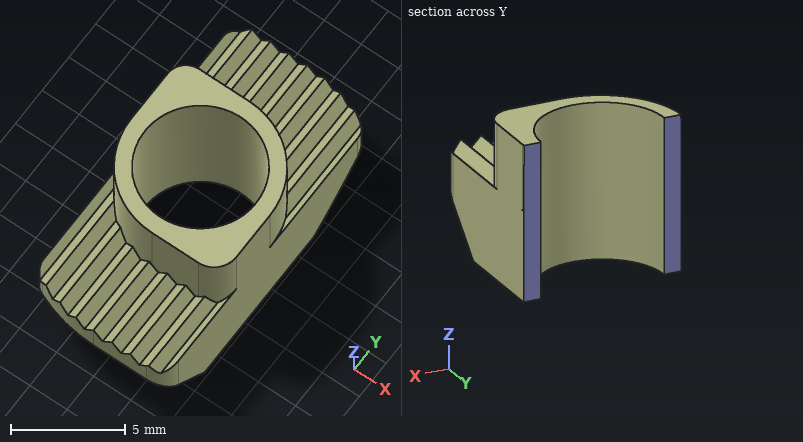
import cadquery as cq
import math

length = 16.0
width = 7.7
height = 7.5
corner_radius = 1.0
bore_diameter = 6.0
boss_swing_radius = 4.0
boss_front_corner_radius = 1.2
base_height = 4.5
bevel_size = 3.0
tooth_pitch = 1.0

half_length = length / 2
half_width = width / 2
tooth_depth = tooth_pitch / 2
bottom_half_length = half_length - bevel_size
arc_end_y = math.sqrt(half_length**2 - half_width**2)


def end_half():
    """One end of the base (+Y): bevelled flat on -X, coned round on +X."""
    section = [
        (0, 0),
        (bottom_half_length, 0),
        (half_length, bevel_size),
        (half_length, base_height),
        (0, base_height),
    ]
    flat_side = (
        cq.Workplane("YZ")
        .polyline(section)
        .close()
        .extrude(-half_width)
    )
    round_side = (
        cq.Workplane("XZ")
        .polyline(section)
        .close()
        .revolve(360, (0, 0, 0), (0, 1, 0))
        .intersect(cq.Workplane("XY").box(half_width, half_length, base_height, centered=False))
    )
    return flat_side.union(round_side)


def base_prism():
    """Plan outline of the base with its four corners rounded."""
    return (
        cq.Workplane("XY")
        .moveTo(-half_width, half_length)
        .lineTo(0, half_length)
        .radiusArc((half_width, arc_end_y), half_length)
        .lineTo(half_width, -half_length)
        .lineTo(0, -half_length)
        .radiusArc((-half_width, -arc_end_y), half_length)
        .close()
        .extrude(base_height)
        .edges("|Z and (<X or >X)")
        .fillet(corner_radius)
    )


def serration_grooves():
    """V grooves along Y, with crests on the centre line and every pitch from it."""
    grooves = cq.Workplane("XY")
    groove_count = 2 * math.ceil(half_width / tooth_pitch)
    for index in range(groove_count):
        valley_x = (index - (groove_count - 1) / 2) * tooth_pitch
        groove = (
            cq.Workplane("XZ")
            .polyline([(valley_x - tooth_pitch / 2, base_height),
                       (valley_x, base_height - tooth_depth),
                       (valley_x + tooth_pitch / 2, base_height)])
            .close()
            .extrude(half_length, both=True)
        )
        grooves = grooves.add(groove)
    return grooves.combine()


def boss():
    """Square boss with two opposite corners swung round to turn in a slot.

    Each swing arc is tangent to both of its sides and reaches just past mid-side.
    """
    corner_direction = cq.Vector(1, -1, 0)
    swing_centre = half_width - boss_swing_radius
    return (
        cq.Workplane("XY")
        .moveTo(-half_width, half_width)
        .lineTo(swing_centre, half_width)
        .radiusArc((half_width, swing_centre), boss_swing_radius)
        .lineTo(half_width, -half_width)
        .lineTo(-swing_centre, -half_width)
        .radiusArc((-half_width, -swing_centre), boss_swing_radius)
        .close()
        .extrude(height)
        .edges(cq.selectors.DirectionMinMaxSelector(corner_direction, False))
        .fillet(corner_radius)
        .edges(cq.selectors.DirectionMinMaxSelector(corner_direction, True))
        .fillet(boss_front_corner_radius)
    )


base = end_half().union(end_half().rotate((0, 0, 0), (0, 0, 1), 180))
base = base.intersect(base_prism()).cut(serration_grooves())
bore = cq.Workplane("XY").circle(bore_diameter / 2).extrude(height)
result = base.union(boss()).cut(bore)